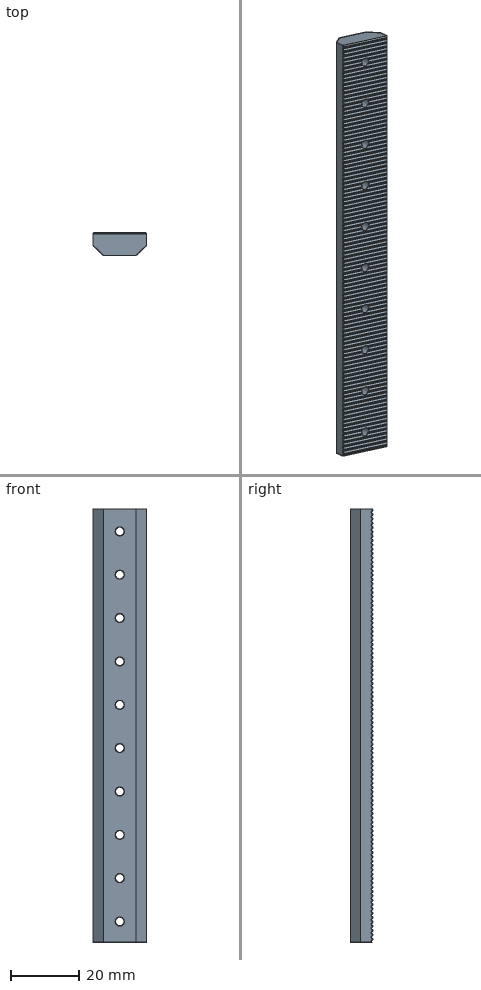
import cadquery as cq

width = 15.75
depth = 6.73
length = 127.0

front_bevel_x = 3.06
front_bevel_y = 2.95

back_bevel = 0.381

tooth_count = 100
tooth_pitch = length / tooth_count
groove_floor = 0.254
tooth_depth = (tooth_pitch - groove_floor) / 2
first_groove_offset = 0.254

hole_count = 10
hole_pitch = length / hole_count
hole_diameter = 2.5
hole_row_shift = -0.254

front_y = -depth / 2
back_y = depth / 2
groove_y = back_y - tooth_depth
bottom_z = -length / 2


def make_toothed_bar():
    """Side outline in the YZ plane with teeth along +Y, running past the top and bottom ends."""
    first_groove_z = bottom_z + first_groove_offset
    lowest_tip_z = first_groove_z - tooth_pitch / 2
    outline = [(front_y, lowest_tip_z), (back_y, lowest_tip_z)]
    for index in range(tooth_count + 1):
        groove_z = first_groove_z + index * tooth_pitch
        outline += [
            (groove_y, groove_z - groove_floor / 2),
            (groove_y, groove_z + groove_floor / 2),
            (back_y, groove_z + tooth_pitch / 2),
        ]
    highest_tip_z = outline[-1][1]
    outline.append((front_y, highest_tip_z))
    return cq.Workplane("YZ").polyline(outline).close().extrude(width / 2, both=True)


def make_bevelled_envelope():
    """Eight-sided XY outline of the bar, extruded to its exact length."""
    side_x = width / 2
    right_half = [
        (side_x - front_bevel_x, front_y),
        (side_x, front_y + front_bevel_y),
        (side_x, back_y - back_bevel),
        (side_x - back_bevel, back_y),
    ]
    left_half = [(-x, y) for x, y in reversed(right_half)]
    outline = cq.Workplane("XY").polyline(right_half + left_half).close()
    return outline.extrude(length / 2, both=True)


def drill_hole_row(bar):
    """Evenly spaced holes through the depth, the row set slightly below mid-length."""
    drills = (
        cq.Workplane("XZ")
        .center(0, hole_row_shift)
        .rarray(width, hole_pitch, 1, hole_count)
        .circle(hole_diameter / 2)
        .extrude(depth, both=True)
    )
    return bar.cut(drills)


result = drill_hole_row(make_toothed_bar().intersect(make_bevelled_envelope()))